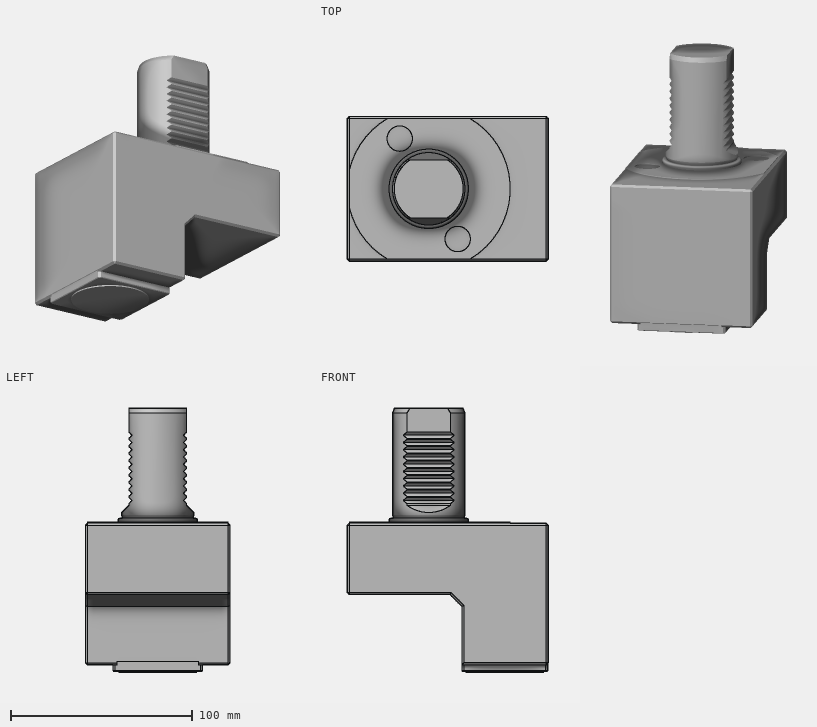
import cadquery as cq
import math

body_left = -45.0
body_right = 66.0
body_width = 80.0
body_top = -0.5
arm_bottom = -40.0
leg_left = 18.3
leg_bottom = -78.7
inner_corner_chamfer = 6.5
edge_chamfer = 1.2
leg_edge_chamfer = 0.9

pad_radius = 45.0
recess_diameter = 14.0
recess_depth = 0.5
recess_circle_radius = 32.0
recess_angle = math.radians(120)
recess_x = recess_circle_radius * math.cos(recess_angle)
recess_y = recess_circle_radius * math.sin(recess_angle)

shank_diameter = 40.0
shank_top = 63.0
shank_top_chamfer_radial = 1.0
shank_top_chamfer_height = 2.7
shank_bottom_chamfer_radial = 0.5
shank_bottom_chamfer_height = 1.7
collar_diameter = 43.86
collar_height = 2.2
collar_rounding = collar_height / 2

flat_offset = 16.0
groove_count = 10
groove_pitch = 4.0
groove_depth = 1.75
lowest_groove_z = 12.0
flat_bottom = 9.35
runout_overshoot = 1.0

plate_overhang = 0.05
plate_left = leg_left - plate_overhang
plate_right = 65.7
plate_width = 49.5
plate_top = leg_bottom
neck_width = 45.2
neck_top = -76.8
plate_bottom = -82.3
plate_corner_chamfer = 1.2
plate_rim_chamfer = 0.4
face_diameter = 43.0
face_bottom = -82.99


def make_body():
    """L-shaped block with chamfered side outlines and a chamfered foot edge."""
    outline = (
        cq.Workplane("XZ")
        .moveTo(body_left, body_top)
        .lineTo(body_right, body_top)
        .lineTo(body_right, leg_bottom)
        .lineTo(leg_left, leg_bottom)
        .lineTo(leg_left, arm_bottom - inner_corner_chamfer)
        .lineTo(leg_left - inner_corner_chamfer, arm_bottom)
        .lineTo(body_left, arm_bottom)
        .close()
    )
    block = outline.extrude(body_width / 2, both=True)
    block = block.faces("<Y or >Y or <X or >X").edges().chamfer(edge_chamfer)
    leg_edge = cq.selectors.NearestToPointSelector((leg_left, 0, leg_bottom))
    return block.edges(leg_edge).chamfer(leg_edge_chamfer)


def make_pad():
    """Round pad trimmed to the top face of the body, with two opposite recesses."""
    disc = cq.Workplane("XY").workplane(offset=body_top).circle(pad_radius).extrude(-body_top)
    top_face_length = body_right - body_left - 2 * edge_chamfer
    top_face_width = body_width - 2 * edge_chamfer
    top_face = (
        cq.Workplane("XY")
        .workplane(offset=body_top)
        .center((body_left + body_right) / 2, 0)
        .rect(top_face_length, top_face_width)
        .extrude(-body_top)
    )
    recesses = (
        cq.Workplane("XY")
        .pushPoints([(recess_x, recess_y), (-recess_x, -recess_y)])
        .circle(recess_diameter / 2)
        .extrude(-recess_depth)
    )
    return disc.intersect(top_face).cut(recesses)


def make_shank():
    """Turned shank and collar, before the toothed flats are cut."""
    radius = shank_diameter / 2
    profile = (
        cq.Workplane("XZ")
        .moveTo(0, body_top)
        .lineTo(collar_diameter / 2, body_top)
        .lineTo(collar_diameter / 2, collar_height - collar_rounding)
        .radiusArc((collar_diameter / 2 - collar_rounding, collar_height), -collar_rounding)
        .lineTo(radius - shank_bottom_chamfer_radial, collar_height)
        .lineTo(radius, collar_height + shank_bottom_chamfer_height)
        .lineTo(radius, shank_top - shank_top_chamfer_height)
        .lineTo(radius - shank_top_chamfer_radial, shank_top)
        .lineTo(0, shank_top)
        .close()
    )
    return profile.revolve(360, (0, 0, 0), (0, 1, 0))


def make_tooth_cutter():
    """Space outside one flat (+Y side): a toothed wall with a 45 degree run-out below."""
    runout = shank_diameter / 2 - flat_offset + runout_overshoot
    outline = cq.Workplane("YZ").moveTo(flat_offset + runout, flat_bottom - runout)
    outline = outline.lineTo(flat_offset, flat_bottom)
    for index in range(groove_count):
        center_z = lowest_groove_z + index * groove_pitch
        outline = (
            outline.lineTo(flat_offset, center_z - groove_depth)
            .lineTo(flat_offset - groove_depth, center_z)
            .lineTo(flat_offset, center_z + groove_depth)
        )
    outline = (
        outline.lineTo(flat_offset, shank_top)
        .lineTo(flat_offset + runout, shank_top)
        .close()
    )
    return outline.extrude(shank_diameter, both=True)


def make_nose():
    """Plate under the leg, the round face below it and the neck above it."""
    length = plate_right - plate_left
    center_x = (plate_right + plate_left) / 2
    plate = (
        cq.Workplane("XY")
        .workplane(offset=plate_bottom)
        .center(center_x, 0)
        .rect(length, plate_width)
        .extrude(plate_top - plate_bottom)
        .edges("|Z")
        .chamfer(plate_corner_chamfer)
        .faces("<Z")
        .edges()
        .chamfer(plate_rim_chamfer)
    )
    face = (
        cq.Workplane("XY")
        .workplane(offset=face_bottom)
        .center(center_x, 0)
        .circle(face_diameter / 2)
        .extrude(plate_top - face_bottom)
    )
    neck = (
        cq.Workplane("XY")
        .workplane(offset=plate_top)
        .center(center_x, 0)
        .rect(length, neck_width)
        .extrude(neck_top - plate_top)
    )
    return plate.union(face).union(neck)


tooth_cutter = make_tooth_cutter()
shank = make_shank().cut(tooth_cutter).cut(tooth_cutter.mirror("XZ"))
result = make_body().union(make_pad()).union(shank).union(make_nose())